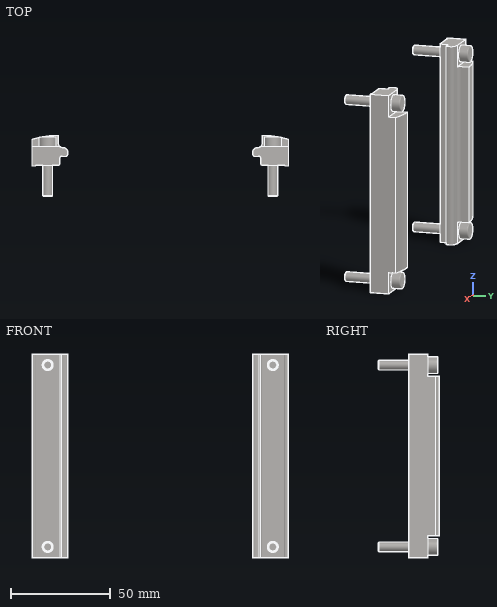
import cadquery as cq
import math

overall_width = 128.4
rail_length = 102.0
rail_width = 18.0
half_width = overall_width / 2

base_width = 14.0
base_bottom = -9.35
base_corner_radius = 1.0

lip_bottom = -9.75
lip_corner_chamfer = 0.3
lip_width = 1.4
lip_step_width = 0.8

flange_top = -0.4
flange_bottom = -5.0
flange_top_radius = 2.4
flange_bottom_radius = 1.4
neck_bottom = -4.8
neck_fillet = 0.85
bead_flat_width = 0.5

pad_width = 13.25
pad_height = 5.75
pad_edge_height = 3.75
pad_root_radius = 2.2
pad_length = 80.0

screw_diameter = 5.0
screw_length = 25.0
screw_tip_chamfer = 0.5
head_diameter = 8.5
head_height = 5.0
head_edge_fillet = 0.6
clearance_hole_diameter = 5.5
screw_from_outer_wall = 7.87
screw_from_rail_end = 5.5

screw_x = half_width - screw_from_outer_wall
screw_z = rail_length / 2 - screw_from_rail_end

diagonal = math.sqrt(0.5)


def rail_section():
    """Closed outline of the left rail, pad included, with its outer wall at x = 0."""
    crown_drop = pad_height - pad_edge_height
    crown_radius = (pad_width**2 + crown_drop**2) / (2 * crown_drop)
    crown_mid_x = pad_width / 2
    crown_mid_y = pad_height - crown_radius + math.sqrt(crown_radius**2 - crown_mid_x**2)

    root_x = pad_width + pad_root_radius
    root_y = flange_top + pad_root_radius

    top_round_x = rail_width - flange_top_radius
    top_round_y = flange_top - flange_top_radius
    bottom_round_x = rail_width - flange_bottom_radius
    bottom_round_y = flange_bottom + flange_bottom_radius

    bead_start_x = base_width + neck_fillet
    bead_end_x = bottom_round_x - bead_flat_width
    bead_rise = neck_bottom - flange_bottom
    bead_span = bead_end_x - bead_start_x
    bead_radius = (bead_span**2 + bead_rise**2) / (2 * bead_rise)
    bead_mid_x = bead_end_x - bead_span / 2
    bead_mid_y = flange_bottom + bead_radius - math.sqrt(bead_radius**2 - (bead_span / 2) ** 2)

    step_mid_x = lip_width + lip_step_width / 2
    step_mid_y = (base_bottom + lip_bottom) / 2

    neck_y = neck_bottom - neck_fillet
    corner_x = base_width - base_corner_radius
    corner_y = base_bottom + base_corner_radius

    return (
        cq.Workplane("XY")
        .moveTo(lip_corner_chamfer, lip_bottom)
        .lineTo(0, lip_bottom + lip_corner_chamfer)
        .lineTo(0, pad_edge_height)
        .threePointArc((crown_mid_x, crown_mid_y), (pad_width, pad_height))
        .lineTo(pad_width, root_y)
        .threePointArc(
            (root_x - pad_root_radius * diagonal, root_y - pad_root_radius * diagonal),
            (root_x, flange_top),
        )
        .lineTo(top_round_x, flange_top)
        .threePointArc(
            (top_round_x + flange_top_radius * diagonal, top_round_y + flange_top_radius * diagonal),
            (rail_width, top_round_y),
        )
        .lineTo(rail_width, bottom_round_y)
        .threePointArc(
            (
                bottom_round_x + flange_bottom_radius * diagonal,
                bottom_round_y - flange_bottom_radius * diagonal,
            ),
            (bottom_round_x, flange_bottom),
        )
        .lineTo(bead_end_x, flange_bottom)
        .threePointArc((bead_mid_x, bead_mid_y), (bead_start_x, neck_bottom))
        .threePointArc(
            (bead_start_x - neck_fillet * diagonal, neck_y + neck_fillet * diagonal),
            (base_width, neck_y),
        )
        .lineTo(base_width, corner_y)
        .threePointArc(
            (corner_x + base_corner_radius * diagonal, corner_y - base_corner_radius * diagonal),
            (corner_x, base_bottom),
        )
        .lineTo(lip_width + lip_step_width, base_bottom)
        .tangentArcPoint((step_mid_x, step_mid_y), relative=False)
        .tangentArcPoint((lip_width, lip_bottom), relative=False)
        .close()
    )


def make_left_rail():
    rail = rail_section().extrude(rail_length / 2, both=True)

    seat_length = (rail_length - pad_length) / 2
    for end in (-1, 1):
        seat_cut = (
            cq.Workplane("XY")
            .box(rail_width, pad_height, seat_length, centered=(False, False, True))
            .translate((0, 0, end * (pad_length + seat_length) / 2))
        )
        rail = rail.cut(seat_cut)

    screw_holes = (
        cq.Workplane("XZ", origin=(0, pad_height, 0))
        .pushPoints([(screw_from_outer_wall, -screw_z), (screw_from_outer_wall, screw_z)])
        .circle(clearance_hole_diameter / 2)
        .extrude(pad_height - lip_bottom)
    )
    return rail.cut(screw_holes).translate((-half_width, 0, 0))


def make_screw(x, z):
    """Cylinder-head screw pointing along -Y, its head resting on the seat plane."""
    head = (
        cq.Workplane("XZ", origin=(x, 0, z))
        .circle(head_diameter / 2)
        .extrude(-head_height)
        .faces(">Y")
        .edges()
        .fillet(head_edge_fillet)
    )
    shank = (
        cq.Workplane("XZ", origin=(x, 0, z))
        .circle(screw_diameter / 2)
        .extrude(screw_length)
        .faces("<Y")
        .chamfer(screw_tip_chamfer)
    )
    return head.union(shank)


left_rail = make_left_rail()
right_rail = left_rail.mirror("YZ")
screws = [make_screw(x, z) for x in (-screw_x, screw_x) for z in (-screw_z, screw_z)]

result = cq.Compound.makeCompound(
    [left_rail.val(), right_rail.val(), *[screw.val() for screw in screws]]
)